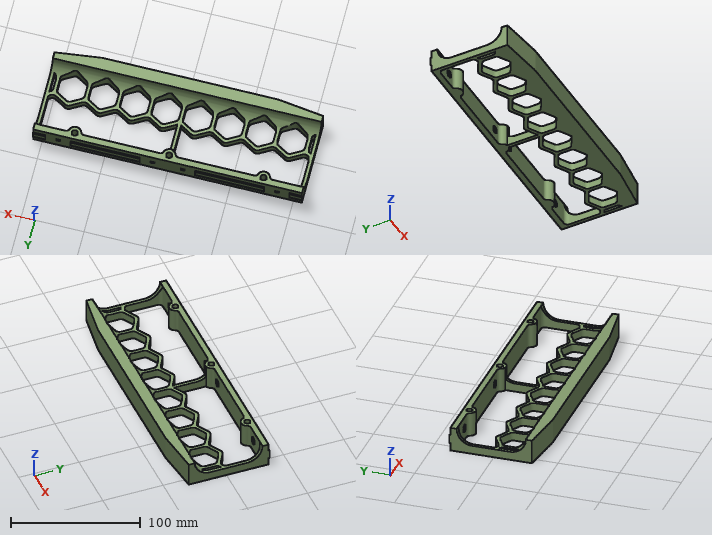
import cadquery as cq
import math

LENGTH = 214.0
HEIGHT = 20.0
DEPTH = 72.0
HALF_LENGTH = LENGTH / 2

RIDGE_HEIGHT = 0.9
RIDGE_BASE = 8.1
REAR_FACE = DEPTH - RIDGE_HEIGHT
REAR_WALL = 5.1
REAR_INNER = REAR_FACE - REAR_WALL
RIDGE_GAP = 10.0

FRONT_WALL = 9.8
TAPER_SETBACK = 4.7
TAPER_START = 70.0

FLOOR = 7.0
TROUGH_RADIUS = HEIGHT - FLOOR

CELL_PITCH = 25.0
CELL_WALL = 3.0
CELL_FLATS = CELL_PITCH - CELL_WALL
CELL_COUNT = 8
CELL_CENTER_Y = 24.6
CELL_FILLET = 3.6
OUTLINE_FILLET = 4.3
RAIL = 3.0
HEX_ANGLE = math.radians(30)
PICK_MARGIN = 0.2

BOSS_X = [-3 * CELL_PITCH, 0, 3 * CELL_PITCH]
BOSS_RADIUS = 5.1
BOSS_FILLET = 2.8
BOSS_BLANK_WIDTH = 3 * BOSS_RADIUS
BOSS_HOLE_DIAMETER = 4.7
BOSS_HOLE_DEPTH = 15.0
WINDOW_CORNER_FILLET = 3.2

SCREW_OFFSET = 12.0
SCREW_X = [BOSS_X[0] - SCREW_OFFSET, -SCREW_OFFSET, SCREW_OFFSET, BOSS_X[2] + SCREW_OFFSET]
SCREW_DIAMETER = 3.2
COUNTERBORE_DIAMETER = 6.0
COUNTERBORE_DEPTH = 1.0


def box(x_min, x_max, y_min, y_max):
    """Full-height block."""
    return (
        cq.Workplane("XY")
        .center((x_min + x_max) / 2, (y_min + y_max) / 2)
        .rect(x_max - x_min, y_max - y_min)
        .extrude(HEIGHT)
    )


def blank():
    """Solid plate with tapered front corners."""
    return (
        cq.Workplane("XY")
        .moveTo(-HALF_LENGTH, TAPER_SETBACK)
        .lineTo(-TAPER_START, 0)
        .lineTo(TAPER_START, 0)
        .lineTo(HALF_LENGTH, TAPER_SETBACK)
        .lineTo(HALF_LENGTH, REAR_FACE)
        .lineTo(-HALF_LENGTH, REAR_FACE)
        .close()
        .extrude(HEIGHT)
    )


def trough():
    """Cutter with quarter-round sides, sparing the boss blanks."""
    bend = TROUGH_RADIUS * math.sqrt(0.5)
    front_center = FRONT_WALL + TROUGH_RADIUS
    rear_center = REAR_INNER - TROUGH_RADIUS
    cutter = (
        cq.Workplane("YZ")
        .moveTo(FRONT_WALL, HEIGHT)
        .threePointArc((front_center - bend, HEIGHT - bend), (front_center, FLOOR))
        .lineTo(rear_center, FLOOR)
        .threePointArc((rear_center + bend, HEIGHT - bend), (REAR_INNER, HEIGHT))
        .close()
        .extrude(HALF_LENGTH, both=True)
    )
    for x in BOSS_X:
        half = BOSS_BLANK_WIDTH / 2
        cutter = cutter.cut(box(x - half, x + half, REAR_INNER - BOSS_RADIUS, REAR_INNER))
    return cutter


def hexagon(x, flats, fillet):
    """Full-height rounded hexagonal prism with a point toward +Y."""
    return (
        cq.Workplane("XY")
        .polygon(6, flats / math.cos(HEX_ANGLE))
        .extrude(HEIGHT)
        .rotate((0, 0, 0), (0, 0, 1), math.degrees(HEX_ANGLE))
        .edges("|Z")
        .fillet(fillet)
        .translate((x, CELL_CENTER_Y, 0))
    )


def cells():
    """Hexagonal openings, with a sliver of one more cell beside each end rail."""
    inside = box(RAIL - HALF_LENGTH, HALF_LENGTH - RAIL, 0, DEPTH)
    row = cq.Workplane("XY")
    for i in range(CELL_COUNT + 2):
        x = (i - (CELL_COUNT + 1) / 2) * CELL_PITCH
        row = row.add(hexagon(x, CELL_FLATS, CELL_FILLET).intersect(inside))
    return row.combine()


def window():
    """Opening between the centre rail and the right end rail, behind the honeycomb."""
    outer = HALF_LENGTH - RAIL
    inner = RAIL / 2
    slope = math.tan(HEX_ANGLE)
    apex = CELL_CENTER_Y + (CELL_FLATS / 2 + CELL_WALL) / math.cos(HEX_ANGLE)
    valley = apex - slope * CELL_PITCH / 2
    row_end = CELL_COUNT / 2 * CELL_PITCH

    points = [(inner, valley + slope * inner)]
    for i in range(CELL_COUNT // 2):
        points.append(((i + 0.5) * CELL_PITCH, apex))
        points.append(((i + 1) * CELL_PITCH, valley))
    points.append((outer, valley + slope * (outer - row_end)))
    points += [(outer, REAR_INNER), (inner, REAR_INNER)]
    opening = cq.Workplane("XY").polyline(points).close().extrude(HEIGHT)

    zigzag = cq.selectors.BoxSelector(
        (inner + RAIL, valley - RAIL, -PICK_MARGIN), (outer - RAIL, apex + RAIL, HEIGHT + PICK_MARGIN)
    )
    opening = opening.edges("|Z").edges(zigzag).fillet(OUTLINE_FILLET)
    opening = opening.edges("|Z and >X").fillet(WINDOW_CORNER_FILLET)

    for x in BOSS_X[1:]:
        opening = opening.cut(
            cq.Workplane("XY").center(x, REAR_INNER).circle(BOSS_RADIUS).extrude(HEIGHT)
        )
    boss_roots = cq.selectors.BoxSelector(
        (BOSS_RADIUS / 2, REAR_INNER - PICK_MARGIN, -PICK_MARGIN),
        (BOSS_X[2] + BOSS_RADIUS + PICK_MARGIN, REAR_INNER + PICK_MARGIN, HEIGHT + PICK_MARGIN),
    )
    return opening.edges("|Z").edges(boss_roots).fillet(BOSS_FILLET)


def ridge(x_min, x_max):
    """Trapezoidal ridge at mid-height of the rear face, with 45 degree flanks."""
    middle = HEIGHT / 2
    base = RIDGE_BASE / 2
    crest = base - RIDGE_HEIGHT
    profile = [
        (REAR_FACE, middle - base),
        (DEPTH, middle - crest),
        (DEPTH, middle + crest),
        (REAR_FACE, middle + base),
    ]
    return (
        cq.Workplane("YZ", origin=(x_min, 0, 0)).polyline(profile).close().extrude(x_max - x_min)
    )


right_window = window()
result = blank().cut(trough()).cut(cells())
result = result.cut(right_window).cut(right_window.mirror("YZ"))

ridge_spans = [
    (-HALF_LENGTH, SCREW_X[0] - RIDGE_GAP),
    (SCREW_X[0] + RIDGE_GAP, SCREW_X[1] - RIDGE_GAP),
    (SCREW_X[2] + RIDGE_GAP, SCREW_X[3] - RIDGE_GAP),
    (SCREW_X[3] + RIDGE_GAP, HALF_LENGTH),
]
for start, end in ridge_spans:
    result = result.union(ridge(start, end))

for x in BOSS_X:
    hole = cq.Workplane("XY", origin=(x, REAR_INNER, HEIGHT)).circle(BOSS_HOLE_DIAMETER / 2)
    result = result.cut(hole.extrude(-BOSS_HOLE_DEPTH))

for x in SCREW_X:
    inner_face = cq.Workplane("XZ", origin=(x, REAR_INNER, HEIGHT / 2))
    result = result.cut(inner_face.circle(SCREW_DIAMETER / 2).extrude(-REAR_WALL))
    result = result.cut(inner_face.circle(COUNTERBORE_DIAMETER / 2).extrude(-COUNTERBORE_DEPTH))